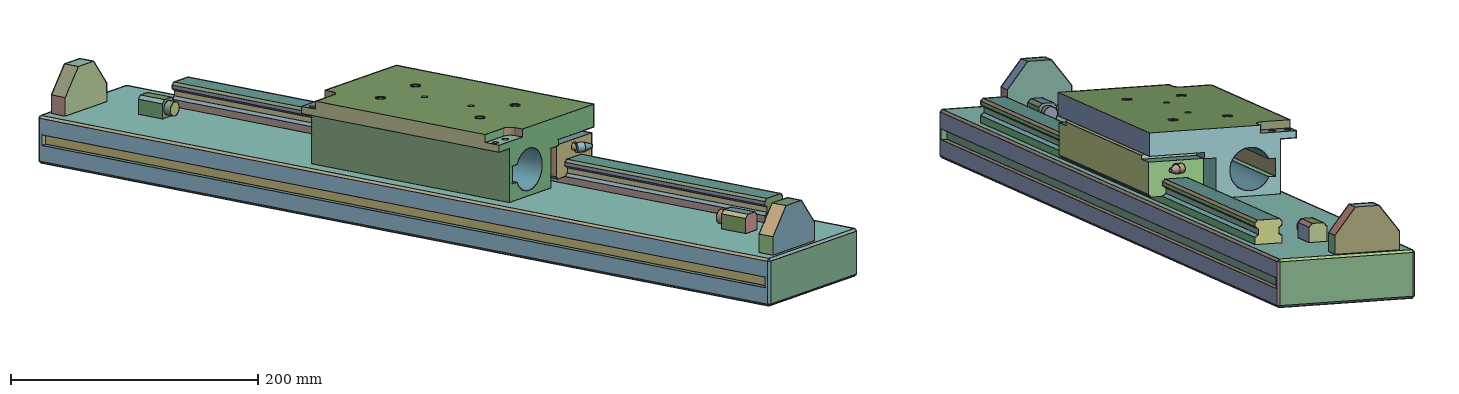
import cadquery as cq
import math

ENDS = (-1, 1)

base_length = 740.0
base_width = 120.0
base_height = 40.0
edge_chamfer = 2.0
groove_bottom = 15.5
groove_height = 9.0
groove_depth = 5.0
groove_end_margin = 4.5

stop_y = -20.0
stop_width = 56.0
stop_top_width = 21.0
stop_shoulder = 55.5
stop_top = 78.0
stop_thickness = 14.0
stop_outer_x = 365.0

bumper_outer_x = 307.0
bumper_length = 24.5
bumper_size = 15.5
bumper_chamfer = 3.0
buffer_diameter = 12.0
buffer_length = 7.0

rail_length = 599.5
rail_y = 40.0
rail_half_width = 12.0
rail_neck_half_width = 9.0
rail_top_half_width = 9.5
rail_foot_top = 46.0
rail_neck_bottom = 48.0
rail_neck_top = 52.5
rail_head_bottom = 55.0
rail_head_top = 58.0
rail_top = 60.0

carriage_length = 200.0
carriage_width = 128.0
carriage_top = 99.0
lip_bottom = 86.5
outer_wall_y = -50.0
inner_wall_y = 6.0
wall_bottom = 41.5
bore_y = -24.0
bore_z = 64.0
bore_diameter = 35.5
slot_outer_y = -46.0
slot_height = 15.0

fixing_diameter = 7.0
fixing_depth = 11.0
fixing_rim_diameter = 8.0
fixing_rim_depth = 1.0
fixing_x = 50.0
fixing_y = 24.0
dowel_diameter = 4.9
dowel_x = 24.0

pocket_width = 14.0
pocket_inner_y = -32.5
pocket_depth = 7.0
pocket_radius = 7.0
pocket_hole_diameter = 5.0
pocket_hole_depth = 4.5
pocket_hole_x = 92.5
pocket_hole_ys = (-46.0, -59.0)

runner_length = 195.0
runner_end_length = 15.0
runner_inner_y = 16.0
runner_bottom = 46.0
runner_top = 80.0
runner_end_top = 75.0
runner_chamfer = 2.0

nipple_z = 69.0
nipple_diameter = 7.0
nipple_neck_length = 6.0
nipple_collar_diameter = 8.0
nipple_collar_length = 7.0
nipple_tip_diameter = 3.0
nipple_tip_length = 7.5
nipple_bend = math.radians(60)

carriage_back_y = carriage_width / 2
carriage_front_y = -carriage_width / 2


def block(x_range, y_range, z_range):
    """Box between the given limits, whichever order they come in."""
    x0, x1 = sorted(x_range)
    y0, y1 = sorted(y_range)
    z0, z1 = sorted(z_range)
    return cq.Workplane("XY").box(x1 - x0, y1 - y0, z1 - z0, centered=False).translate((x0, y0, z0))


def bar_along_x(points, length):
    """Prism with a (Y, Z) outline, centred on X = 0."""
    return cq.Workplane("YZ").polyline(points).close().extrude(length / 2, both=True)


def stop(end):
    half = stop_width / 2
    top_half = stop_top_width / 2
    outline = [
        (stop_y - half, base_height),
        (stop_y + half, base_height),
        (stop_y + half, stop_shoulder),
        (stop_y + top_half, stop_top),
        (stop_y - top_half, stop_top),
        (stop_y - half, stop_shoulder),
    ]
    middle_x = end * (stop_outer_x - stop_thickness / 2)
    return bar_along_x(outline, stop_thickness).translate((middle_x, 0, 0))


def bumper(end):
    inner_x = bumper_outer_x - bumper_length
    half = bumper_size / 2
    body = block(
        (end * bumper_outer_x, end * inner_x), (-half, half), (base_height, base_height + bumper_size)
    )
    body = body.edges("|X and >Z").chamfer(bumper_chamfer)
    buffer = cq.Solid.makeCylinder(
        buffer_diameter / 2,
        buffer_length,
        cq.Vector(end * inner_x, 0, base_height + half),
        cq.Vector(-end, 0, 0),
    )
    return body.union(cq.Workplane(buffer))


def make_base():
    half_width = base_width / 2
    half_length = base_length / 2
    groove_end = half_length - groove_end_margin
    base = block((-half_length, half_length), (-half_width, half_width), (0, base_height))
    base = base.edges().chamfer(edge_chamfer)
    for side in ENDS:
        groove = block(
            (-groove_end, groove_end),
            (side * half_width, side * (half_width - groove_depth)),
            (groove_bottom, groove_bottom + groove_height),
        )
        base = base.cut(groove)
    for end in ENDS:
        base = base.union(stop(end)).union(bumper(end))
    return base


def make_rail():
    half_profile = [
        (rail_half_width, base_height),
        (rail_half_width, rail_foot_top),
        (rail_neck_half_width, rail_neck_bottom),
        (rail_neck_half_width, rail_neck_top),
        (rail_half_width, rail_head_bottom),
        (rail_half_width, rail_head_top),
        (rail_top_half_width, rail_top),
    ]
    right = [(rail_y + y, z) for y, z in half_profile]
    left = [(rail_y - y, z) for y, z in reversed(half_profile)]
    return bar_along_x(right + left, rail_length)


def make_nipple(end):
    """Straight neck on the end of the runner, then a collar and a conical tip along the bend."""
    outward = cq.Vector(end, 0, 0)
    bent = cq.Vector(end * math.cos(nipple_bend), math.sin(nipple_bend), 0)
    root = cq.Vector(end * runner_length / 2, rail_y, nipple_z)
    elbow = root + outward * nipple_neck_length
    collar_start = elbow - bent * (nipple_diameter / 2)
    collar_end = collar_start + bent * nipple_collar_length
    neck = cq.Solid.makeCylinder(
        nipple_diameter / 2, nipple_neck_length, root, outward
    )
    collar = cq.Solid.makeCylinder(
        nipple_collar_diameter / 2, nipple_collar_length, collar_start, bent
    )
    tip = cq.Solid.makeCone(
        nipple_collar_diameter / 2, nipple_tip_diameter / 2, nipple_tip_length, collar_end, bent
    )
    return cq.Workplane(neck).union(cq.Workplane(collar)).union(cq.Workplane(tip))


def make_runner(rail):
    half = runner_length / 2
    y_range = (runner_inner_y, carriage_back_y)
    runner = block((-half, half), y_range, (runner_bottom, runner_top))
    runner = runner.edges("|X").chamfer(runner_chamfer)
    for end in ENDS:
        step = block(
            (end * half, end * (half - runner_end_length)), y_range, (runner_end_top, runner_top)
        )
        runner = runner.cut(step)
    return runner.cut(rail)


def top_hole(diameter, depth, x, y, z):
    return cq.Workplane("XY", origin=(x, y, z)).circle(diameter / 2).extrude(-depth)


def corner_pocket(end):
    outer_x = end * carriage_length / 2
    inner_x = outer_x - end * pocket_width
    floor = carriage_top - pocket_depth
    pocket = block((outer_x, inner_x), (carriage_front_y, pocket_inner_y), (floor, carriage_top))
    inner_side = "<X" if end > 0 else ">X"
    pocket = pocket.edges(f"|Z and {inner_side}").edges(">Y").fillet(pocket_radius)
    for y in pocket_hole_ys:
        hole = top_hole(pocket_hole_diameter, pocket_hole_depth, end * pocket_hole_x, y, floor)
        pocket = pocket.union(hole)
    return pocket


def make_carriage():
    outline = [
        (carriage_back_y, carriage_top),
        (carriage_back_y, runner_top),
        (runner_inner_y, runner_top),
        (runner_inner_y, runner_end_top),
        (inner_wall_y, runner_end_top),
        (inner_wall_y, wall_bottom),
        (outer_wall_y, wall_bottom),
        (outer_wall_y, lip_bottom),
        (carriage_front_y, lip_bottom),
        (carriage_front_y, carriage_top),
    ]
    carriage = bar_along_x(outline, carriage_length)
    half = carriage_length / 2
    bore = cq.Workplane("YZ").center(bore_y, bore_z).circle(bore_diameter / 2).extrude(half, both=True)
    slot = block(
        (-half, half), (slot_outer_y, bore_y), (bore_z - slot_height / 2, bore_z + slot_height / 2)
    )
    carriage = carriage.cut(bore).cut(slot)
    for end in ENDS:
        carriage = carriage.cut(corner_pocket(end))
        carriage = carriage.cut(top_hole(dowel_diameter, fixing_depth, end * dowel_x, 0, carriage_top))
        for side in ENDS:
            spot = (end * fixing_x, side * fixing_y, carriage_top)
            carriage = carriage.cut(top_hole(fixing_diameter, fixing_depth, *spot))
            carriage = carriage.cut(top_hole(fixing_rim_diameter, fixing_rim_depth, *spot))
    return carriage


base = make_base()
rail = make_rail()
runner = make_runner(rail)
nipples = [make_nipple(end) for end in ENDS]
carriage = make_carriage()

result = cq.Compound.makeCompound(
    [base.val(), rail.val(), runner.val(), *[nipple.val() for nipple in nipples], carriage.val()]
)